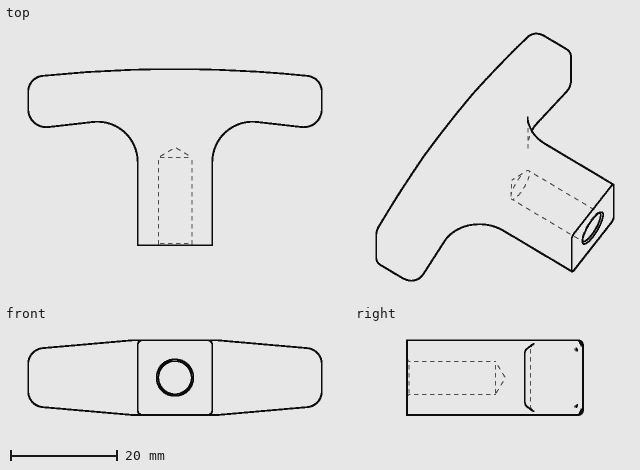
import cadquery as cq
import math

LENGTH = 55.0
HEIGHT = 33.0
THICKNESS = 14.0
HALF_LENGTH = LENGTH / 2
HALF_STEM = THICKNESS / 2

CROWN_RADIUS = 242.0
NECK_RADIUS = 7.5
NECK_START = 15.6
UNDERSIDE_ANGLE = 6.5

FLAT_HALF_LENGTH = 8.0
TAPER_ANGLE = 5.0

CREASE_RADIUS = 3.0
END_RADIUS = 3.0
UNDERSIDE_END_RADIUS = 3.4
EDGE_RADIUS = 1.0

HOLE_DIAMETER = 6.2
HOLE_MOUTH_DIAMETER = 6.9
HOLE_DEPTH = 16.5
DRILL_POINT_ANGLE = 118.0


def t_body():
    """T outline with rounded grip ends, extruded through the thickness."""
    slope = math.radians(UNDERSIDE_ANGLE)
    neck_x = HALF_STEM + NECK_RADIUS
    underside_x = neck_x + NECK_RADIUS * math.sin(slope)
    underside_y = NECK_START + NECK_RADIUS * math.cos(slope)
    end_low_y = underside_y - (HALF_LENGTH - underside_x) * math.tan(slope)
    end_high_y = HEIGHT - CROWN_RADIUS + math.sqrt(CROWN_RADIUS**2 - HALF_LENGTH**2)
    middle = math.pi / 4 + slope / 2
    middle_x = neck_x - NECK_RADIUS * math.cos(middle)
    middle_y = NECK_START + NECK_RADIUS * math.sin(middle)

    body = (
        cq.Workplane("XY", origin=(0, 0, -HALF_STEM))
        .moveTo(-HALF_STEM, 0)
        .lineTo(HALF_STEM, 0)
        .lineTo(HALF_STEM, NECK_START)
        .threePointArc((middle_x, middle_y), (underside_x, underside_y))
        .lineTo(HALF_LENGTH, end_low_y)
        .lineTo(HALF_LENGTH, end_high_y)
        .threePointArc((0, HEIGHT), (-HALF_LENGTH, end_high_y))
        .lineTo(-HALF_LENGTH, end_low_y)
        .lineTo(-underside_x, underside_y)
        .threePointArc((-middle_x, middle_y), (-HALF_STEM, NECK_START))
        .close()
        .extrude(THICKNESS)
    )
    for end in ("<X", ">X"):
        body = body.faces(end).edges("|Z and >Y").fillet(END_RADIUS)
        body = body.faces(end).edges("|Z and <Y").fillet(UNDERSIDE_END_RADIUS)
    return body


def taper_envelope():
    """Thickness outline of the grip, running the full height of the part."""
    taper_run = HALF_LENGTH - FLAT_HALF_LENGTH
    end_z = HALF_STEM - taper_run * math.tan(math.radians(TAPER_ANGLE))
    crease_reach = CREASE_RADIUS * math.tan(math.radians(TAPER_ANGLE / 2))
    flat_x = FLAT_HALF_LENGTH - crease_reach

    along_x = math.cos(math.radians(TAPER_ANGLE))
    along_z = -math.sin(math.radians(TAPER_ANGLE))
    taper_x = FLAT_HALF_LENGTH + crease_reach * along_x
    taper_z = HALF_STEM + crease_reach * along_z

    envelope = (
        cq.Workplane("XZ")
        .moveTo(-flat_x, HALF_STEM)
        .lineTo(flat_x, HALF_STEM)
        .tangentArcPoint((taper_x, taper_z), relative=False)
        .lineTo(HALF_LENGTH, end_z)
        .lineTo(HALF_LENGTH, -end_z)
        .lineTo(taper_x, -taper_z)
        .tangentArcPoint((flat_x, -HALF_STEM), relative=False)
        .lineTo(-flat_x, -HALF_STEM)
        .tangentArcPoint((-taper_x, -taper_z), relative=False)
        .lineTo(-HALF_LENGTH, -end_z)
        .lineTo(-HALF_LENGTH, end_z)
        .lineTo(-taper_x, taper_z)
        .tangentArcPoint((-flat_x, HALF_STEM), relative=False)
        .close()
        .extrude(-HEIGHT)
    )
    return envelope.faces("<X or >X").edges("|Y").fillet(END_RADIUS)


def round_edges(body):
    """Round the stem and both rims of the grip, leaving the stem end sharp.

    The crown and stem edges are enough: each runs on tangentially to the grip ends.
    """
    corners = [(0, HEIGHT), (HALF_STEM, NECK_START / 2), (-HALF_STEM, NECK_START / 2)]
    for x, y in corners:
        for z in (HALF_STEM, -HALF_STEM):
            nearest = cq.NearestToPointSelector((x, y, z))
            body = body.edges(nearest).fillet(EDGE_RADIUS)
    return body


def hole_cutter():
    """Blind drilled hole along Y with a 45 degree countersunk mouth."""
    radius = HOLE_DIAMETER / 2
    mouth_radius = HOLE_MOUTH_DIAMETER / 2
    point_length = radius / math.tan(math.radians(DRILL_POINT_ANGLE / 2))
    half_section = [
        (0, 0),
        (mouth_radius, 0),
        (radius, mouth_radius - radius),
        (radius, HOLE_DEPTH),
        (0, HOLE_DEPTH + point_length),
    ]
    return cq.Workplane("XY").polyline(half_section).close().revolve(360, (0, 0), (0, 1))


handle = t_body().intersect(taper_envelope())
result = round_edges(handle).cut(hole_cutter())